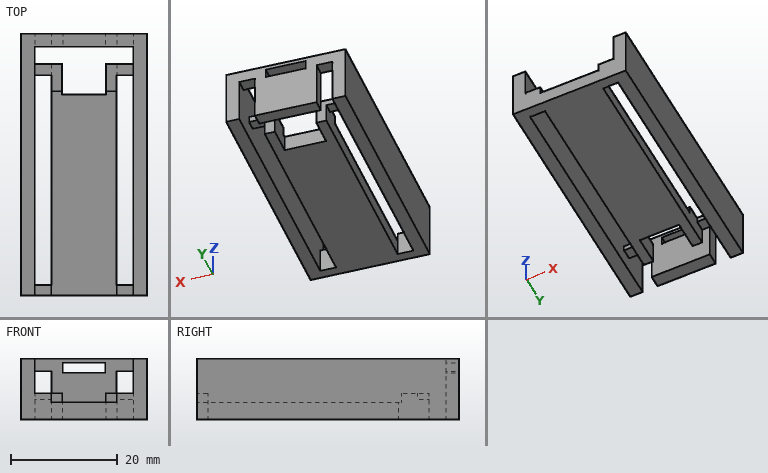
import cadquery as cq

width = 23.62
length = 49.12
height = 11.4
side_wall = 2.6
back_wall = 2.5

strip_width = 12.2
floor_top = 3.25
floor_back_gap = 11.4

ledge_top = 4.95
front_bar_depth = 2.0

leg_width = 2.0
stop_back_gap = 5.7
arm_depth = 2.15
leg_length = 5.1
arm_thickness = 1.2

notch_top = 9.0
slot_width = 7.9
slot_height = 1.8
slot_bottom = 8.8

inner_half_width = width / 2 - side_wall
strip_half_width = strip_width / 2
leg_inner_x = strip_half_width - leg_width
front_y = -length / 2
back_y = length / 2
inner_back_y = back_y - back_wall
floor_end_y = back_y - floor_back_gap
stop_back_y = back_y - stop_back_gap
stop_front_y = stop_back_y - leg_length


def block(x_range, y_range, z_range):
    """Axis-aligned block spanning the given (low, high) ranges."""
    lows, highs = zip(x_range, y_range, z_range)
    size = [high - low for low, high in zip(lows, highs)]
    return cq.Workplane("XY").box(*size, centered=False).translate(lows)


def on_both_sides(solid):
    """The solid together with its mirror image across the YZ plane."""
    return solid.union(solid.mirror("YZ"))


def make_frame():
    """Two side walls and a back wall, open at the front."""
    outer = block((-width / 2, width / 2), (front_y, back_y), (0, height))
    cavity = block((-inner_half_width, inner_half_width), (front_y, inner_back_y), (0, height))
    return outer.cut(cavity)


def make_floor():
    """Central floor strip; its two rear corners reach on to the legs of the stops."""
    strip = block((-strip_half_width, strip_half_width), (front_y, floor_end_y), (0, floor_top))
    corner = block(
        (leg_inner_x, strip_half_width),
        (floor_end_y, stop_front_y),
        (0, floor_top),
    )
    return strip.union(on_both_sides(corner))


def make_front_bars():
    """Short bars that tie the floor strip to the side walls at the front."""
    bar = block(
        (strip_half_width, inner_half_width),
        (front_y, front_y + front_bar_depth),
        (0, ledge_top),
    )
    return on_both_sides(bar)


def make_stops():
    """L-shaped stops: a leg behind the floor strip and a thin arm to the side wall."""
    leg = block(
        (leg_inner_x, strip_half_width),
        (stop_front_y, stop_back_y),
        (0, ledge_top),
    )
    arm = block(
        (strip_half_width, inner_half_width),
        (stop_back_y - arm_depth, stop_back_y),
        (ledge_top - arm_thickness, ledge_top),
    )
    return on_both_sides(leg.union(arm))


def make_back_wall_openings():
    """Corner notches open to the bottom, and a slot near the top edge."""
    notch = block((strip_half_width, inner_half_width), (inner_back_y, back_y), (0, notch_top))
    slot = block(
        (-slot_width / 2, slot_width / 2),
        (inner_back_y, back_y),
        (slot_bottom, slot_bottom + slot_height),
    )
    return on_both_sides(notch).union(slot)


result = (
    make_frame()
    .cut(make_back_wall_openings())
    .union(make_floor())
    .union(make_front_bars())
    .union(make_stops())
)